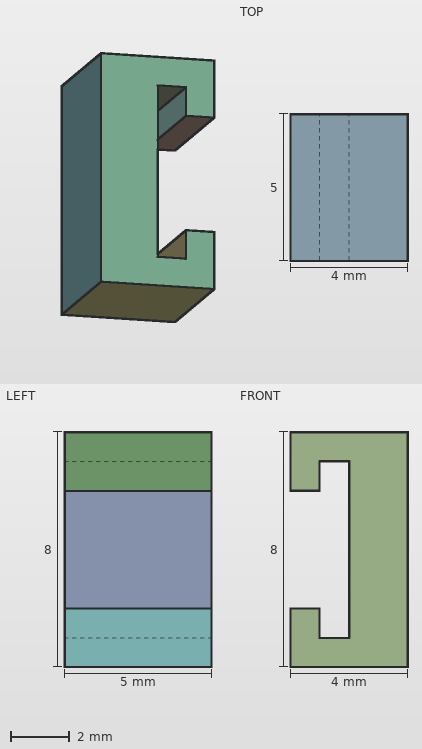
import cadquery as cq

depth = 4.0
length = 5.0
height = 8.0

wall = 1.0
slot_depth = 2.0
mouth_height = 4.0

cavity_depth = slot_depth - wall
cavity_height = height - 2 * wall

block = cq.Workplane("XY").box(depth, length, height)

front_x = -depth / 2
mouth = cq.Workplane("XY").box(slot_depth, length, mouth_height)
mouth = mouth.translate((front_x + slot_depth / 2, 0, 0))

cavity = cq.Workplane("XY").box(cavity_depth, length, cavity_height)
cavity = cavity.translate((front_x + wall + cavity_depth / 2, 0, 0))

result = block.cut(mouth).cut(cavity)